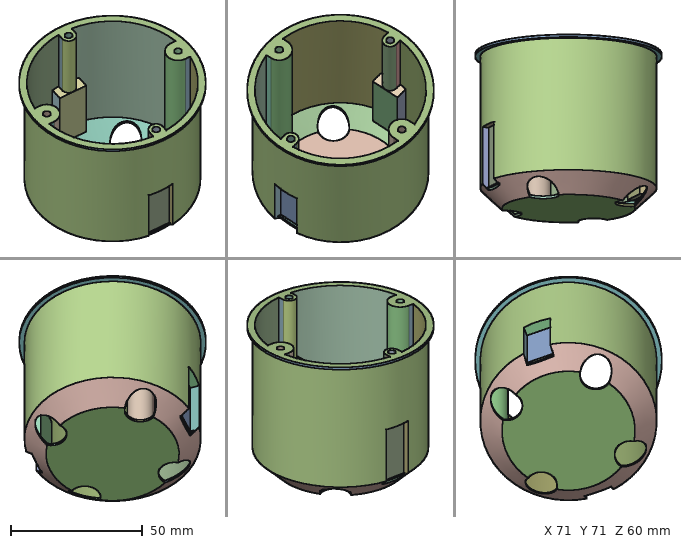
import cadquery as cq

height = 60.0
flange_radius = 35.5
wall = 1.0
outer_radius = 67.0 / 2
inner_radius = outer_radius - wall
cone_height = 7.8
base_radius = 25.3
floor_radius = 25.1

post_offset = 29.95
end_post_radius = 5.0
side_post_radius = 3.0
screw_diameter = 3.0

opening_diameter = 12.0
opening_offset = 18.2

pocket_width = 10.85
pocket_top = 29.9
left_pocket_back = 29.5
right_pocket_back = 30.7
housing_width = 12.1
housing_face = 26.9
housing_bottom = 6.8
housing_top = pocket_top + 2 * wall


def revolve_profile(points):
    """Revolve a closed (radius, height) outline about the Z axis."""
    return cq.Workplane("XZ").polyline(points).close().revolve(360, (0, 0), (0, 1))


def block(x_start, x_end, width, bottom, top):
    """Box centred on Y between two X positions and two heights."""
    return (
        cq.Workplane("XY", origin=((x_start + x_end) / 2, 0, bottom))
        .rect(abs(x_end - x_start), width)
        .extrude(top - bottom)
    )


def screw_post(radius, bottom, angle):
    """Round-nosed post reaching out to the wall, turned to the given angle."""
    nose = cq.Workplane("XY", origin=(post_offset, 0, bottom)).circle(radius).extrude(height - bottom)
    web = block(post_offset, outer_radius, 2 * radius, bottom, height)
    return nose.union(web).rotate((0, 0, 0), (0, 0, 1), angle)


envelope = revolve_profile([
    (0, 0),
    (base_radius, 0),
    (outer_radius, cone_height),
    (outer_radius, height - wall),
    (flange_radius, height - wall),
    (flange_radius, height),
    (0, height),
])

cavity = revolve_profile([
    (0, wall),
    (floor_radius, wall),
    (inner_radius, cone_height),
    (inner_radius, height),
    (0, height),
])
body = envelope.cut(cavity)

additions = block(-housing_face, -outer_radius, housing_width, housing_bottom, housing_top)
additions = additions.union(block(housing_face, outer_radius, housing_width, housing_bottom, housing_top))
for angle in (0, 180):
    additions = additions.union(screw_post(side_post_radius, housing_top, angle))
for angle in (90, 270):
    additions = additions.union(screw_post(end_post_radius, wall, angle))
body = body.union(additions.intersect(envelope))

for side, back in ((-1, left_pocket_back), (1, right_pocket_back)):
    body = body.cut(block(side * back, side * flange_radius, pocket_width, 0, pocket_top))

screw_holes = (
    cq.Workplane("XY", origin=(0, 0, housing_top))
    .polarArray(post_offset, 0, 360, 4)
    .circle(screw_diameter / 2)
    .extrude(height - housing_top)
)
body = body.cut(screw_holes)

openings = (
    cq.Workplane("XY")
    .rect(2 * opening_offset, 2 * opening_offset, forConstruction=True)
    .vertices()
    .circle(opening_diameter / 2)
    .extrude(cone_height)
)
result = body.cut(openings)